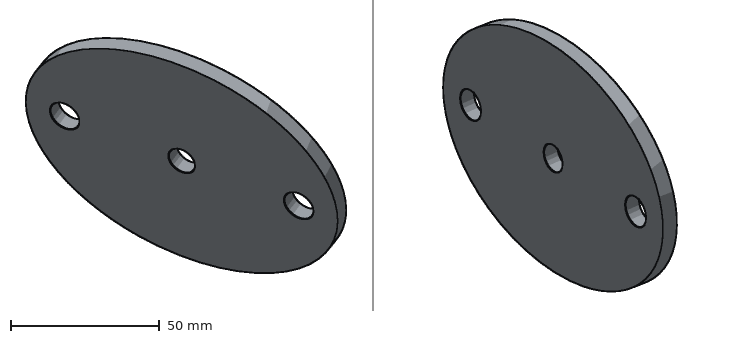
import cadquery as cq

plate_length = 120.0
plate_height = 88.0
plate_thickness = 6.0

side_hole_spacing = 90.0
side_hole_diameter = 11.0
centre_hole_diameter = 10.0
rim_chamfer = 0.2


def oval_plate():
    outline = cq.Workplane("XZ").ellipse(plate_length / 2, plate_height / 2)
    return outline.extrude(plate_thickness)


def drill_holes(plate):
    side_hole_x = side_hole_spacing / 2
    face = plate.faces("<Y").workplane(origin=(0, 0, 0))
    drilled = face.hole(centre_hole_diameter)
    face = drilled.faces("<Y").workplane(origin=(0, 0, 0))
    return face.pushPoints([(-side_hole_x, 0), (side_hole_x, 0)]).hole(side_hole_diameter)


def chamfer_rims(plate):
    return plate.edges("%CIRCLE").chamfer(rim_chamfer)


result = chamfer_rims(drill_holes(oval_plate()))